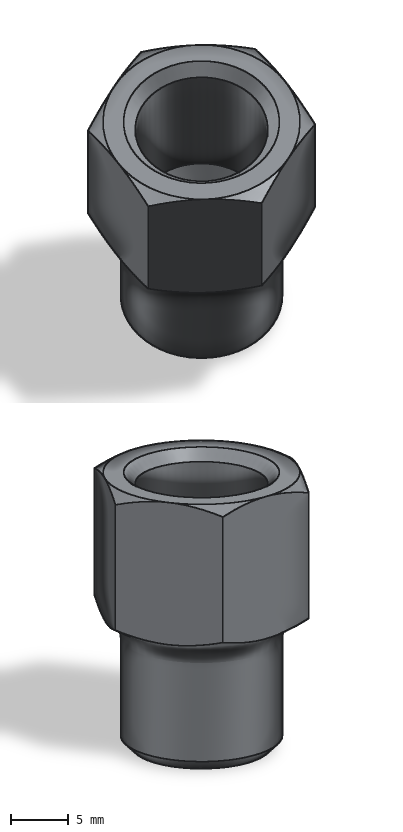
import cadquery as cq
import math

total_height = 25
hex_across_flats = 17
hex_chamfer_angle = math.radians(30)

spigot_diameter = 14
spigot_length = 10
spigot_chamfer = 1
neck_fillet_radius = 2

bore_diameter = 11.45
bore_depth = 13
bore_mouth_diameter = 13.45
mouth_chamfer_angle = math.radians(45)
drill_point_angle = math.radians(118)
through_hole_diameter = 6

flat_radius = hex_across_flats / 2
corner_radius = flat_radius / math.cos(math.radians(30))
spigot_radius = spigot_diameter / 2
bore_radius = bore_diameter / 2
mouth_radius = bore_mouth_diameter / 2
hole_radius = through_hole_diameter / 2
chamfer_slope = math.tan(hex_chamfer_angle)


def outer_envelope():
    """Turned outside shape, with cones that chamfer both ends of the hexagon."""
    fillet_center_radius = spigot_radius + neck_fillet_radius

    def fillet_point(angle):
        return (
            fillet_center_radius - neck_fillet_radius * math.cos(angle),
            spigot_length + neck_fillet_radius * math.sin(angle),
        )

    sweep = math.pi / 2 - hex_chamfer_angle
    fillet_end = fillet_point(sweep)
    corner_bottom = fillet_end[1] + (corner_radius - fillet_end[0]) * chamfer_slope
    corner_top = total_height - (corner_radius - flat_radius) * chamfer_slope

    return (
        cq.Workplane("XZ")
        .moveTo(0, 0)
        .lineTo(spigot_radius - spigot_chamfer, 0)
        .lineTo(spigot_radius, spigot_chamfer)
        .lineTo(spigot_radius, spigot_length)
        .threePointArc(fillet_point(sweep / 2), fillet_end)
        .lineTo(corner_radius, corner_bottom)
        .lineTo(corner_radius, corner_top)
        .lineTo(flat_radius, total_height)
        .lineTo(0, total_height)
        .close()
        .revolve(360, (0, 0), (0, 1))
    )


def hex_bar():
    """Full-height hexagon with flats facing +X and -X."""
    return (
        cq.Workplane("XY")
        .polygon(6, 2 * corner_radius)
        .extrude(total_height)
        .rotate((0, 0, 0), (0, 0, 1), 30)
    )


def stepped_bore():
    """Chamfered bore with a conical floor leading into the through hole."""
    bore_bottom = total_height - bore_depth
    cone_height = (bore_radius - hole_radius) / math.tan(drill_point_angle / 2)
    mouth_depth = (mouth_radius - bore_radius) / math.tan(mouth_chamfer_angle)
    return (
        cq.Workplane("XZ")
        .moveTo(0, 0)
        .lineTo(hole_radius, 0)
        .lineTo(hole_radius, bore_bottom - cone_height)
        .lineTo(bore_radius, bore_bottom)
        .lineTo(bore_radius, total_height - mouth_depth)
        .lineTo(mouth_radius, total_height)
        .lineTo(0, total_height)
        .close()
        .revolve(360, (0, 0), (0, 1))
    )


result = outer_envelope().intersect(hex_bar()).cut(stepped_bore())